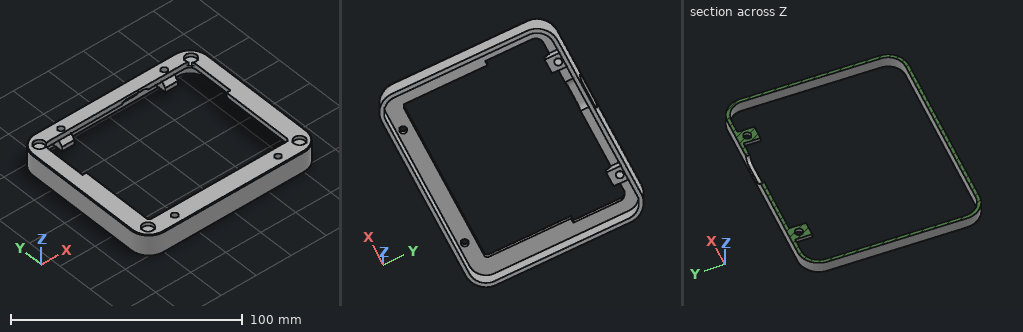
import cadquery as cq

length = 100.0
width = 85.0
height = 11.8
corner_radius = 10.0
top_chamfer = 0.4

plate_thickness = 3.0
wall = 2.0
plate_underside = height - plate_thickness
cavity_rear = width / 2 - wall

window_front = -32.6
window_rear = 34.8
window_step = 8.6
front_window_length = 80.0
rear_window_length = 84.4
front_window_radius = 1.5
rear_window_radius = 3.6

screw_diameter = 3.4
screw_spacing_x = 59.0
screw_spacing_y = 75.0
magnet_diameter = 6.2
magnet_depth = 2.0
magnet_spacing_x = 86.6
magnet_spacing_y = 71.6

block_length = 7.2
block_bottom = 3.9
nose_reach = 2.2
nose_drop = 2.2

slot_center_x = 10.5
slot_bottom = 3.0
slot_length = 16.5
slot_height = 7.2


def rounded_box(size_x, size_y, size_z, radius):
    """Box standing on Z = 0 with rounded vertical edges."""
    box = cq.Workplane("XY").box(size_x, size_y, size_z, centered=(True, True, False))
    return box.edges("|Z").fillet(radius)


def window_section(size_x, front, rear, rounded_edges, radius):
    """Full-height cutter between two Y positions, rounded on one side."""
    box = cq.Workplane("XY").box(size_x, rear - front, height, centered=(True, False, False))
    return box.translate((0, front, 0)).edges(rounded_edges).edges("|Z").fillet(radius)


def screw_block(x):
    """Block under the plate, from the rear wall to the tip of the nose."""
    nose_tip = window_rear - nose_reach
    profile = [
        (cavity_rear, block_bottom),
        (nose_tip, block_bottom),
        (nose_tip, plate_underside - nose_drop),
        (window_rear, plate_underside),
        (cavity_rear, plate_underside),
    ]
    block = cq.Workplane("YZ").polyline(profile).close().extrude(block_length)
    return block.translate((x - block_length / 2, 0, 0))


frame = rounded_box(length, width, height, corner_radius).faces(">Z").chamfer(top_chamfer)
frame = frame.cut(rounded_box(length - 2 * wall, width - 2 * wall, plate_underside, corner_radius - wall))

frame = frame.cut(window_section(front_window_length, window_front, window_step, "<Y", front_window_radius))
frame = frame.cut(window_section(rear_window_length, window_step, window_rear, ">Y", rear_window_radius))

for block_x in (-screw_spacing_x / 2, screw_spacing_x / 2):
    frame = frame.union(screw_block(block_x))

top = cq.Workplane("XY").workplane(offset=height)
screws = top.rarray(screw_spacing_x, screw_spacing_y, 2, 2).circle(screw_diameter / 2).extrude(-height)
magnets = top.rarray(magnet_spacing_x, magnet_spacing_y, 2, 2).circle(magnet_diameter / 2).extrude(-magnet_depth)
frame = frame.cut(screws).cut(magnets)

slot = (
    cq.Workplane("XZ", origin=(slot_center_x, width / 2, slot_bottom + slot_height / 2))
    .slot2D(slot_length, slot_height)
    .extrude(width / 2 - window_rear)
)
result = frame.cut(slot)